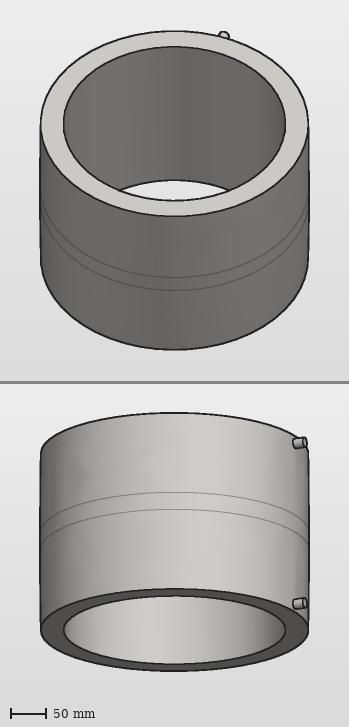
import cadquery as cq
import math

height = 264.0
half_height = height / 2
middle_radius = 192.0
end_radius = 191.0
bore_radius = 158.3
band_half_height = 12.8
crown_length = half_height - band_half_height
crown_drop = middle_radius - end_radius
crown_arc_radius = (crown_length**2 + crown_drop**2) / (2 * crown_drop)
crown_height = band_half_height + crown_length / 2
crown_radius = middle_radius - crown_arc_radius + math.sqrt(crown_arc_radius**2 - (crown_length / 2) ** 2)

overall_depth = 398.7
pin_radius = 7.0
pin_end_y = overall_depth - middle_radius
pin_root_y = (bore_radius + middle_radius) / 2
pin_inset = 11.5
pin_height = half_height - pin_inset


def make_sleeve():
    """Revolve a wall with a straight middle band and gently crowned ends."""
    return (
        cq.Workplane("XZ")
        .moveTo(bore_radius, -half_height)
        .lineTo(end_radius, -half_height)
        .threePointArc((crown_radius, -crown_height), (middle_radius, -band_half_height))
        .lineTo(middle_radius, band_half_height)
        .threePointArc((crown_radius, crown_height), (end_radius, half_height))
        .lineTo(bore_radius, half_height)
        .close()
        .revolve(360, (0, 0, 0), (0, 1, 0))
    )


def make_pin(z):
    """Round pin along +Y, rooted inside the wall."""
    return (
        cq.Workplane("XZ", origin=(0, pin_root_y, z))
        .circle(pin_radius)
        .extrude(pin_root_y - pin_end_y)
    )


result = make_sleeve()
for pin_z in (-pin_height, pin_height):
    result = result.union(make_pin(pin_z))